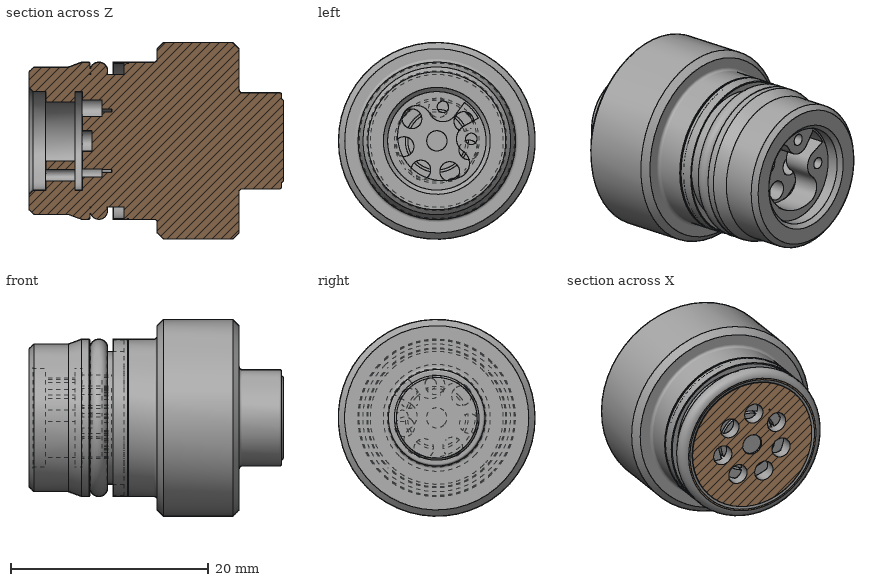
import cadquery as cq
import math


nose_radius = 7.5
nose_chamfer = 0.5
sleeve_radius = 8.0
cone_start = 4.0
cone_end = 5.35
groove_start = 6.2
lip_start = 8.55
lip_thickness = 0.12
groove_end = 9.65
groove_radius = 6.75
groove_edge_chamfer = 0.1
parting_start = 10.0
parting_width = 0.1
parting_depth = 0.1

oring_section_radius = 0.9
oring_x = groove_start + oring_section_radius
oring_center_radius = sleeve_radius - oring_section_radius

nut_start = 13.0
nut_end = 21.35
nut_radius = 10.0
nut_chamfer = 0.65
root_fillet = 0.3

neck_radius = 4.9
neck_end = 25.65
neck_edge_round = 0.2
total_length = 25.85
tail_radius = 4.3
tail_chamfer = total_length - neck_end

mouth_radius = 5.0
mouth_chamfer = 0.43
shelf_depth = 1.7
chamber_end = 4.7
floor_depth = 5.4
clearance_radius = 5.0

key_angle = 41.5
lobe_pitch_radius = 3.5
lobe_half_angle = 38.3
lobe_radius = 1.5
corner_radius = 1.5
corner_offset = 2.92
back_wall_distance = 3.78
key_flare_angle = 12.5
key_outer_radius = 4.8
lobe_hole_diameter = 1.17

contact_count = 7
contact_pitch_radius = 3.375
contact_diameter = 2.0
contact_first_angle = 35.6
contact_depth = 2.0
gap_depth = 1.0
inner_gap_radii = (2.95, 3.2)
outer_gap_radii = (4.17, 4.4)
center_hole_diameter = 2.06
center_hole_depth = 1.0


def polar(radius, angle):
    """Point at a radius and an angle in degrees."""
    turn = math.radians(angle)
    return (radius * math.cos(turn), radius * math.sin(turn))


def section_plane(x):
    """Plane across the axis at x, with local axes along -Y and +Z, facing the mating end."""
    return cq.Workplane(cq.Plane(origin=(x, 0, 0), xDir=(0, -1, 0), normal=(-1, 0, 0)))


def make_shell():
    """Turned outside of sleeve, nut and neck."""
    quarter_turn = math.sqrt(0.5)
    fillet_mid = root_fillet * (1 - quarter_turn)
    round_mid = neck_edge_round * (1 - quarter_turn)
    profile = (
        cq.Workplane("XY")
        .moveTo(0, 0)
        .lineTo(0, nose_radius - nose_chamfer)
        .lineTo(nose_chamfer, nose_radius)
        .lineTo(cone_start, nose_radius)
        .lineTo(cone_end, sleeve_radius)
        .lineTo(groove_start - groove_edge_chamfer, sleeve_radius)
        .lineTo(groove_start, sleeve_radius - groove_edge_chamfer)
        .lineTo(groove_start, groove_radius)
        .lineTo(groove_end, groove_radius)
        .lineTo(groove_end, sleeve_radius - lip_thickness)
        .lineTo(lip_start, sleeve_radius - lip_thickness)
        .lineTo(lip_start, sleeve_radius)
        .lineTo(parting_start, sleeve_radius)
        .lineTo(parting_start, sleeve_radius - parting_depth)
        .lineTo(parting_start + parting_width, sleeve_radius - parting_depth)
        .lineTo(parting_start + parting_width, sleeve_radius)
        .lineTo(nut_start - root_fillet, sleeve_radius)
        .threePointArc(
            (nut_start - fillet_mid, sleeve_radius + fillet_mid),
            (nut_start, sleeve_radius + root_fillet),
        )
        .lineTo(nut_start, nut_radius - nut_chamfer)
        .lineTo(nut_start + nut_chamfer, nut_radius)
        .lineTo(nut_end - nut_chamfer, nut_radius)
        .lineTo(nut_end, nut_radius - nut_chamfer)
        .lineTo(nut_end, neck_radius + root_fillet)
        .threePointArc(
            (nut_end + fillet_mid, neck_radius + fillet_mid),
            (nut_end + root_fillet, neck_radius),
        )
        .lineTo(neck_end - neck_edge_round, neck_radius)
        .threePointArc(
            (neck_end - round_mid, neck_radius - round_mid),
            (neck_end, neck_radius - neck_edge_round),
        )
        .lineTo(neck_end, tail_radius)
        .lineTo(total_length, tail_radius - tail_chamfer)
        .lineTo(total_length, 0)
        .close()
    )
    return profile.revolve(360, (0, 0, 0), (1, 0, 0))


def make_oring():
    section = cq.Workplane("XY").center(oring_x, oring_center_radius).circle(oring_section_radius)
    return section.revolve(360, (0, -oring_center_radius, 0), (1, -oring_center_radius, 0))


def make_mouth():
    """Round opening in front of the shelf, with its lead-in chamfer."""
    profile = [
        (0, 0),
        (0, mouth_radius + mouth_chamfer),
        (mouth_chamfer, mouth_radius),
        (shelf_depth, mouth_radius),
        (shelf_depth, 0),
    ]
    return cq.Workplane("XY").polyline(profile).close().revolve(360, (0, 0, 0), (1, 0, 0))


def make_chamber():
    """Keyed pocket from the shelf to the clearance, around the two lobes."""
    lobe_x, lobe_y = polar(lobe_pitch_radius, lobe_half_angle)
    corner_x = lobe_x - math.sqrt((lobe_radius + corner_radius) ** 2 - (corner_offset - lobe_y) ** 2)
    reach = back_wall_distance - corner_radius
    back_center = (corner_x**2 + corner_offset**2 - reach**2) / (2 * (reach + corner_x))
    corner_direction = math.degrees(math.atan2(corner_offset, corner_x - back_center))
    back_x, back_y = polar(back_wall_distance + back_center, corner_direction)
    back_x += back_center

    lobe_share = lobe_radius / (lobe_radius + corner_radius)
    join_x = lobe_x + (corner_x - lobe_x) * lobe_share
    join_y = lobe_y + (corner_offset - lobe_y) * lobe_share
    join_angle = math.degrees(math.atan2(join_y - corner_offset, join_x - corner_x))
    corner_mid = polar(corner_radius, (join_angle + corner_direction) / 2)

    tangent_angle = key_flare_angle - 90
    tangent_dx, tangent_dy = polar(lobe_radius, tangent_angle)
    tangent_x = lobe_x + tangent_dx
    tangent_y = lobe_y + tangent_dy
    lobe_join_angle = join_angle - 180
    lobe_mid = polar(lobe_radius, (tangent_angle + lobe_join_angle) / 2)
    flare_x, flare_y = polar(1, key_flare_angle)
    along = tangent_x * flare_x + tangent_y * flare_y
    run = -along + math.sqrt(along**2 + key_outer_radius**2 - tangent_x**2 - tangent_y**2)
    key_x = tangent_x + run * flare_x
    key_y = tangent_y + run * flare_y

    outline = (
        section_plane(shelf_depth)
        .transformed(rotate=(0, 0, key_angle))
        .moveTo(key_x, key_y)
        .lineTo(tangent_x, tangent_y)
        .threePointArc((lobe_x + lobe_mid[0], lobe_y + lobe_mid[1]), (join_x, join_y))
        .threePointArc((corner_x + corner_mid[0], corner_offset + corner_mid[1]), (back_x, back_y))
        .threePointArc((-back_wall_distance, 0), (back_x, -back_y))
        .threePointArc((corner_x + corner_mid[0], -corner_offset - corner_mid[1]), (join_x, -join_y))
        .threePointArc((lobe_x + lobe_mid[0], -lobe_y - lobe_mid[1]), (tangent_x, -tangent_y))
        .lineTo(key_x, -key_y)
        .threePointArc((key_outer_radius, 0), (key_x, key_y))
        .close()
    )
    return outline.extrude(shelf_depth - chamber_end)


def make_clearance():
    """Wider round space between the end of the keyed pocket and the contact floor."""
    return section_plane(chamber_end).circle(clearance_radius).extrude(chamber_end - floor_depth)


def make_lobe_holes():
    """Small hole through each lobe into the clearance."""
    centers = [polar(lobe_pitch_radius, key_angle + side * lobe_half_angle) for side in (-1, 1)]
    holes = section_plane(shelf_depth).pushPoints(centers).circle(lobe_hole_diameter / 2)
    return holes.extrude(shelf_depth - chamber_end)


def contact_bores(start, depth):
    """Ring of contact bores of the given depth, starting at x = start."""
    step = 360 / contact_count
    centers = [polar(contact_pitch_radius, contact_first_angle + i * step) for i in range(contact_count)]
    return section_plane(start).pushPoints(centers).circle(contact_diameter / 2).extrude(-depth)


def make_contact_holes():
    """Contact bores, with curved gaps in their bottoms where ring-shaped clearances pass."""
    holes = contact_bores(floor_depth, contact_depth)
    bottom = floor_depth + contact_depth
    gap_bores = contact_bores(bottom, gap_depth)
    for inner, outer in (inner_gap_radii, outer_gap_radii):
        ring = section_plane(bottom).circle(outer).circle(inner).extrude(-gap_depth)
        holes = holes.union(ring.intersect(gap_bores))
    return holes


def make_center_hole():
    return section_plane(floor_depth).circle(center_hole_diameter / 2).extrude(-center_hole_depth)


result = make_shell().union(make_oring())
result = result.cut(make_mouth()).cut(make_chamber())
result = result.cut(make_clearance())
result = result.cut(make_lobe_holes())
result = result.cut(make_contact_holes())
result = result.cut(make_center_hole())